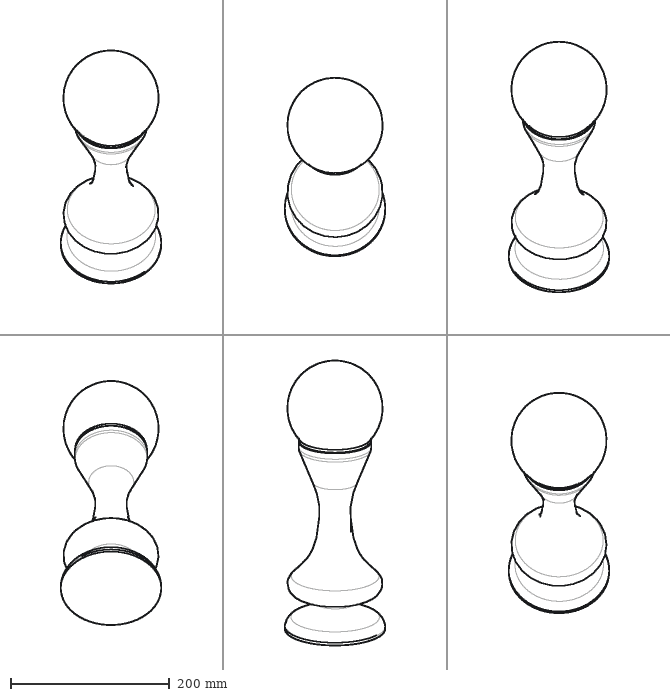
import cadquery as cq
import math


height = 355.7

ball_radius = 120.5 / 2
ball_center_z = height - ball_radius

collar_radius = 92.0 / 2
collar_edge_radius = 45.5
collar_bottom_z = 239.7
collar_band_bottom_z = 243.5
collar_band_top_z = 251.0
collar_shoulder_z = 252.0
collar_top_z = ball_center_z - math.sqrt(ball_radius**2 - collar_edge_radius**2)

flare_bottom = (28.5, 196.7)
waist = (20.0, 152.2)
skirt_upper = (24.5, 117.5)
skirt_middle = (36.5, 91.0)

bulge_top = (55.5, 70.8)
bulge_widest = (60.0, 60.5)
bulge_lower = (54.8, 49.5)
bulge_bottom = (36.3, 43.7)

groove = (26.3, 36.3)
foot_slope = (35.0, 26.3)
foot_shoulder = (56.0, 16.0)
foot_round = (60.8, 10.5)
foot_radius = 127.0 / 2
foot_rim_height = 4.0

straight_up = (0, 1)
inward_along_foot = (-2, 1)
outward_under_bulge = (3, 1)
inward_over_bulge = (-1, 1)
outward_along_flare = (0.4, 1)

profile = (
    cq.Workplane("XZ")
    .moveTo(0, 0)
    .lineTo(foot_radius, 0)
    .lineTo(foot_radius, foot_rim_height)
    .threePointArc(foot_round, foot_shoulder)
    .spline([foot_slope, groove], tangents=[inward_along_foot, straight_up], includeCurrent=True)
    .spline([bulge_bottom], tangents=[straight_up, outward_under_bulge], includeCurrent=True)
    .spline(
        [bulge_lower, bulge_widest, bulge_top],
        tangents=[outward_under_bulge, inward_over_bulge],
        includeCurrent=True,
    )
    .spline(
        [skirt_middle, skirt_upper, waist, flare_bottom],
        tangents=[inward_over_bulge, outward_along_flare],
        includeCurrent=True,
    )
    .lineTo(collar_edge_radius, collar_bottom_z)
    .lineTo(collar_radius, collar_band_bottom_z)
    .lineTo(collar_radius, collar_band_top_z)
    .lineTo(collar_edge_radius, collar_shoulder_z)
    .lineTo(collar_edge_radius, collar_top_z)
    .threePointArc((ball_radius, ball_center_z), (0, height))
    .close()
)

result = profile.revolve(360, (0, 0, 0), (0, 1, 0))